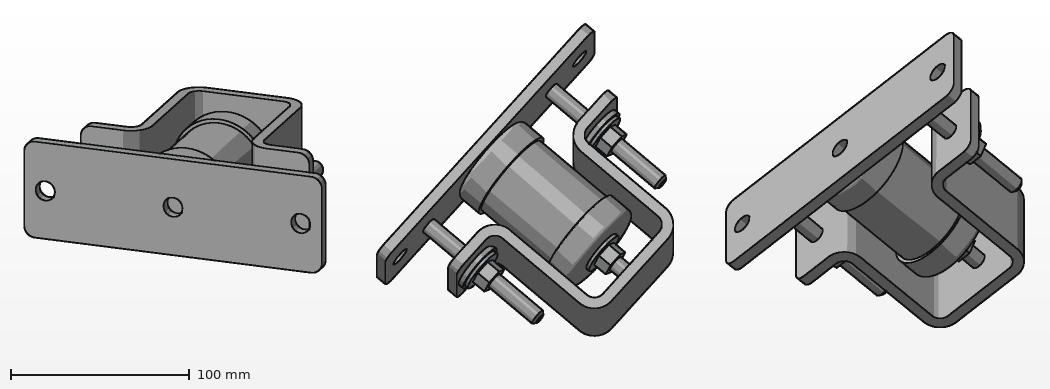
import cadquery as cq

WIDTH = 57.0
THICKNESS = 6.4
CORNER_RADIUS = 6.4

PLATE_LENGTH = 177.8
HOLE_DIAMETER = 11.4
HOLE_OFFSET = 76.3

BRACKET_BACK = 117.5
BRACKET_HALF_WIDTH = 36.6
FLANGE_END = 68.3
FLANGE_FRONT = 34.8
INNER_BEND = 6.4
OUTER_BEND = INNER_BEND + THICKNESS
EDGE_MARGIN = 0.2

CYLINDER_END = 88.9
BODY_DIAMETER = 50.9
CAP_DIAMETER = 55.3
CAP_LENGTH = 15.8
CAP_FILLET = 3.2

ROD_DIAMETER = 9.6
STUD_OFFSET = 52.1
STUD_END = CYLINDER_END
STUD_CHAMFER = 1.6
WASHER_DIAMETER = 25.5
WASHER_THICKNESS = 2.1
BUSHING_DIAMETER = 29.0
BUSHING_THICKNESS = 3.2
NUT_ACROSS_CORNERS = 16.9
NUT_THICKNESS = 8.5


def section_at(x, y):
    """Sketch plane facing +Y, centred at (x, y, 0)."""
    return cq.Workplane(cq.Plane(origin=(x, y, 0), xDir=(1, 0, 0), normal=(0, 1, 0)))


def cylinder(x, start, end, diameter):
    """Round bar along Y from start to end."""
    return section_at(x, start).circle(diameter / 2).extrude(end - start)


def make_plate():
    plate = section_at(0, 0).rect(PLATE_LENGTH, WIDTH).extrude(THICKNESS)
    plate = plate.edges("|Y").fillet(CORNER_RADIUS)
    for x in (-HOLE_OFFSET, 0, HOLE_OFFSET):
        plate = plate.cut(cylinder(x, 0, THICKNESS, HOLE_DIAMETER))
    return plate


def round_bend(bracket, half_width, y, radius):
    """Round the pair of edges along Z at (-half_width, y) and (half_width, y)."""
    reach_x = half_width + EDGE_MARGIN
    low_corner = (-reach_x, y - EDGE_MARGIN, -WIDTH)
    high_corner = (reach_x, y + EDGE_MARGIN, WIDTH)
    bend_edges = cq.selectors.BoxSelector(low_corner, high_corner)
    return bracket.edges("|Z").edges(bend_edges).fillet(radius)


def make_bracket():
    flange_back = FLANGE_FRONT + THICKNESS
    inner_half = BRACKET_HALF_WIDTH - THICKNESS
    inner_back = BRACKET_BACK - THICKNESS
    outline = [
        (-FLANGE_END, FLANGE_FRONT),
        (-inner_half, FLANGE_FRONT),
        (-inner_half, inner_back),
        (inner_half, inner_back),
        (inner_half, FLANGE_FRONT),
        (FLANGE_END, FLANGE_FRONT),
        (FLANGE_END, flange_back),
        (BRACKET_HALF_WIDTH, flange_back),
        (BRACKET_HALF_WIDTH, BRACKET_BACK),
        (-BRACKET_HALF_WIDTH, BRACKET_BACK),
        (-BRACKET_HALF_WIDTH, flange_back),
        (-FLANGE_END, flange_back),
    ]
    bracket = cq.Workplane("XY").polyline(outline).close().extrude(WIDTH / 2, both=True)

    bracket = round_bend(bracket, inner_half, FLANGE_FRONT, OUTER_BEND)
    bracket = round_bend(bracket, BRACKET_HALF_WIDTH, flange_back, INNER_BEND)
    bracket = round_bend(bracket, inner_half, inner_back, INNER_BEND)
    bracket = round_bend(bracket, BRACKET_HALF_WIDTH, BRACKET_BACK, OUTER_BEND)
    return bracket.faces("<X or >X").edges("|Y").fillet(CORNER_RADIUS)


def make_capped_cylinder():
    front_cap_end = THICKNESS + CAP_LENGTH
    back_cap_start = CYLINDER_END - CAP_LENGTH
    body = cylinder(0, front_cap_end, back_cap_start, BODY_DIAMETER)
    front_cap = cylinder(0, THICKNESS, front_cap_end, CAP_DIAMETER).faces("<Y").edges().fillet(CAP_FILLET)
    back_cap = cylinder(0, back_cap_start, CYLINDER_END, CAP_DIAMETER).faces(">Y").edges().fillet(CAP_FILLET)
    return body.union(front_cap).union(back_cap)


def make_washer_and_nut(x, seat):
    """Washer on the seat with a hexagonal nut on it, two nut corners lying along X."""
    nut_seat = seat + WASHER_THICKNESS
    washer = cylinder(x, seat, nut_seat, WASHER_DIAMETER)
    nut = section_at(x, nut_seat).polygon(6, NUT_ACROSS_CORNERS).extrude(NUT_THICKNESS)
    return washer.union(nut)


def make_stud(x):
    """Stud from the plate through a bracket flange, with bushing, washer and nut."""
    stud = cylinder(x, THICKNESS, STUD_END, ROD_DIAMETER).faces(">Y").chamfer(STUD_CHAMFER)
    bushing_seat = FLANGE_FRONT + THICKNESS
    washer_seat = bushing_seat + BUSHING_THICKNESS
    bushing = cylinder(x, bushing_seat, washer_seat, BUSHING_DIAMETER)
    return stud.union(bushing).union(make_washer_and_nut(x, washer_seat))


def make_stem():
    """Stem joining the capped cylinder to the back of the bracket."""
    stem = cylinder(0, CYLINDER_END, BRACKET_BACK - THICKNESS, ROD_DIAMETER)
    return stem.union(make_washer_and_nut(0, CYLINDER_END))


result = make_plate().union(make_bracket()).union(make_capped_cylinder()).union(make_stem())
for stud_x in (-STUD_OFFSET, STUD_OFFSET):
    result = result.union(make_stud(stud_x))